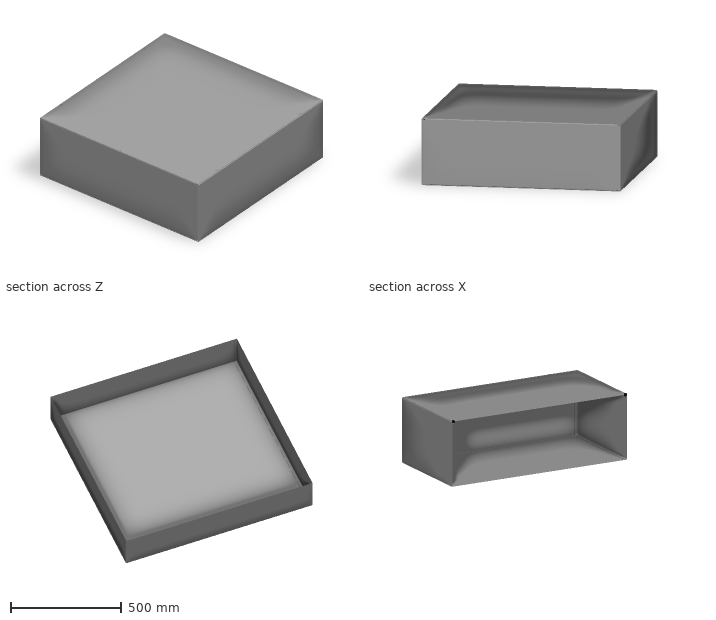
import cadquery as cq

length_x = 919.0
length_y = 915.0
height = 312.5

sheet = 2.5
bend_radius = 3.2
flange_width = 15.0

head_height = 3.0
head_diameter = 7.9
head_top_diameter = 6.0
shank_diameter = 4.3
shank_length = 11.0

slot_width = 4.9
end_slot_width = 7.2
end_slot_length = 9.0
entry_diameter = 8.7
keyhole_travel = 8.0

side_screw_inset = 10.0
side_screw_x = length_x / 2 - side_screw_inset
side_screw_y = length_y / 3
end_screw_inset = 8.7
end_screw_y = length_y / 2 - end_screw_inset

cover_thickness = sheet
cover_size = length_y
cover_top = height - head_height
box_top = cover_top - cover_thickness

inside_length = length_x - 2 * sheet
inside_height = box_top - 2 * sheet

side_spots = [(sx * side_screw_x, sy * side_screw_y) for sx in (-1, 1) for sy in (-1, 1)]
end_spots = [(0, sy * end_screw_y) for sy in (-1, 1)]
screw_spots = side_spots + end_spots


def cutter_plane():
    """Workplane at half height, from which cutters pass only through the upper sheets."""
    return cq.Workplane("XY").workplane(offset=box_top / 2)


def hole_cutters(spots, diameter):
    """Cylinders through the top of the box and the cover, used to cut round holes."""
    return cutter_plane().pushPoints(spots).circle(diameter / 2).extrude(height)


def make_wrap():
    """Bottom and both X walls bent from one sheet, each wall ending in an inward top flange."""
    outline = (
        cq.Workplane("XZ")
        .rect(length_x, box_top)
        .extrude(length_y / 2, both=True)
        .edges("|Y")
        .fillet(bend_radius)
    )
    cavity = (
        cq.Workplane("XZ")
        .rect(inside_length, inside_height)
        .extrude(length_y / 2, both=True)
        .edges("|Y")
        .fillet(bend_radius - sheet)
    )
    opening = cq.Workplane("XY").rect(length_x - 2 * flange_width, length_y).extrude(box_top / 2)
    tube = outline.cut(cavity).cut(opening).translate((0, 0, box_top / 2))
    return tube.cut(hole_cutters(side_spots, shank_diameter))


def make_bent_channel(across, along):
    """Wall facing -Y with both X ends bent back toward +Y; outer face on y = 0, centred on z = 0."""
    depth = flange_width
    outer = (
        cq.Workplane("XY")
        .rect(across, 2 * depth)
        .extrude(along / 2, both=True)
        .edges("|Z")
        .fillet(bend_radius)
    )
    inner = (
        cq.Workplane("XY")
        .rect(across - 2 * sheet, 2 * (depth - sheet))
        .extrude(along / 2, both=True)
        .edges("|Z")
        .fillet(bend_radius - sheet)
    )
    back_half = (
        cq.Workplane("XY")
        .center(0, depth)
        .rect(across, 2 * depth)
        .extrude(along / 2, both=True)
    )
    return outer.cut(inner).cut(back_half).translate((0, depth, 0))


def make_end_panel():
    """End wall at -Y with inward flanges: two inside the wrap walls, one on its floor and one
    level with the wrap's top flanges and between them."""
    side_flanged = make_bent_channel(inside_length, inside_height - 2 * bend_radius).translate(
        (0, 0, box_top / 2)
    )
    wall_height = box_top - sheet
    top_flanged = (
        make_bent_channel(wall_height, length_x - 2 * flange_width)
        .rotate((0, 0, 0), (0, 1, 0), 90)
        .translate((0, 0, sheet + wall_height / 2))
    )
    panel = side_flanged.union(top_flanged).translate((0, -length_y / 2, 0))
    return panel.cut(hole_cutters(end_spots, shank_diameter))


def make_cover():
    """Flat square plate with a keyhole over each side screw and a slot over each end screw."""
    plate = cq.Workplane("XY").rect(cover_size, cover_size).extrude(cover_thickness)
    plate = plate.translate((0, 0, box_top))
    entries = [(x, y - keyhole_travel) for x, y in side_spots]
    slots = [(x, y - keyhole_travel / 2) for x, y in side_spots]
    slot_cutter = (
        cutter_plane()
        .pushPoints(slots)
        .slot2D(keyhole_travel + slot_width, slot_width, 90)
        .extrude(height)
    )
    end_slots = (
        cutter_plane()
        .pushPoints(end_spots)
        .slot2D(end_slot_length, end_slot_width)
        .extrude(height)
    )
    return (
        plate.cut(end_slots)
        .cut(hole_cutters(entries, entry_diameter))
        .cut(slot_cutter)
    )


def make_screw(x, y):
    """Tapered head resting on the cover, with a plain shank into the flange below."""
    head = (
        cq.Workplane("XY")
        .circle(head_diameter / 2)
        .workplane(offset=head_height)
        .circle(head_top_diameter / 2)
        .loft()
    )
    shank = cq.Workplane("XY").circle(shank_diameter / 2).extrude(-shank_length)
    return head.union(shank).translate((x, y, cover_top))


wrap = make_wrap()
near_panel = make_end_panel()
far_panel = near_panel.rotate((0, 0, 0), (0, 0, 1), 180)
cover = make_cover()
screws = [make_screw(x, y) for x, y in screw_spots]

sheet_parts = [wrap, near_panel, far_panel, cover]
result = cq.Compound.makeCompound([body.val() for body in sheet_parts + screws])